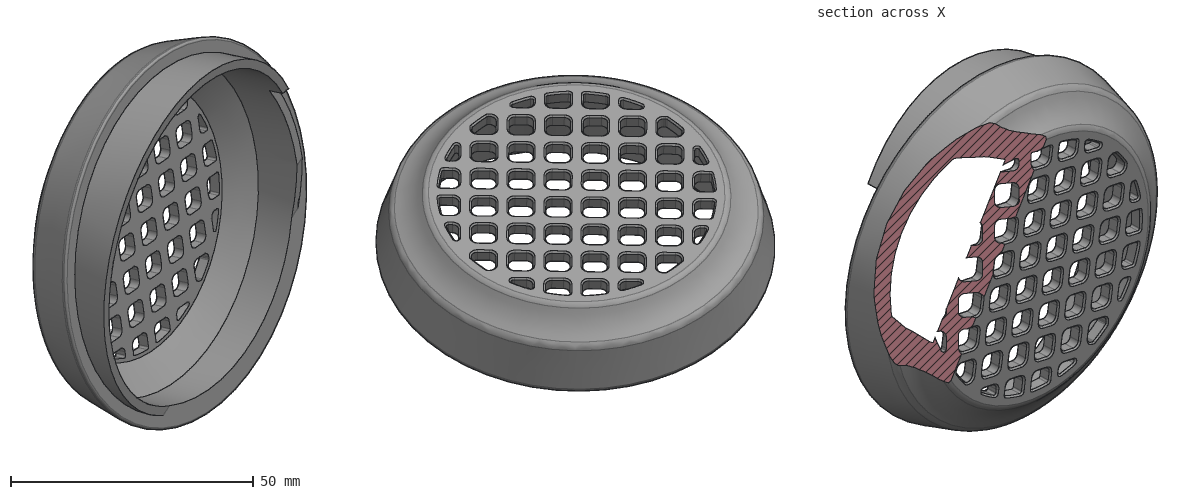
import cadquery as cq
import math

AXIS_TURN = 20.7
AXIS_RISE = 8.7

FACE_RADIUS = 31.4
FACE_FILLET = 1.6
SHOULDER_RADIUS = 38.45
SHOULDER_HEIGHT = 5.1
SHOULDER_FILLET = 2.0
FLARE_SAG = 0.7
RIM_RADIUS = 41.2
RIM_HEIGHT = 15.1
RIM_ROUNDING = 0.5
REAR_HEIGHT = 16.0

SPIGOT_RADIUS = 38.1
WALL = 2.0
SPIGOT_MID_HEIGHT = 20.25
SPIGOT_END_TURN = 24.7
SPIGOT_MAX_HEIGHT = 45.0

NOTCH_WIDTH = 38.4
NOTCH_FLOOR = 17.6

GRILLE_THICKNESS = 2.8
GRILLE_RADIUS = 28.5
GRID_COUNT = 8
PITCH = 7.67
HOLE_SIZE = 5.05
HOLE_CORNER = 1.3
CLIPPED_CORNER = 0.45
HOLE_CHAMFER = 0.38
SMALLEST_HOLE_VOLUME = 4.0

MARGIN = 0.1


def hollow_point(start, end, sag):
    """Point sag away from the middle of the line start-end, on the side towards the axis."""
    length = math.dist(start, end)
    run = (end[0] - start[0]) / length
    climb = (end[1] - start[1]) / length
    return (
        (start[0] + end[0]) / 2 - sag * climb,
        (start[1] + end[1]) / 2 + sag * run,
    )


def edges_within(radius, height):
    """Selector for the edges at one height that lie inside a square around the axis."""
    reach = radius + MARGIN
    return cq.selectors.BoxSelector(
        (-reach, -reach, height - MARGIN),
        (reach, reach, height + MARGIN),
        boundingbox=True,
    )


def revolved(outline):
    """Close an outline of radius and height and turn it about the axis."""
    return outline.close().revolve(360, (0, 0, 0), (0, 1, 0))


def housing():
    """Solid outside of the housing with a full-length spigot."""
    face = (FACE_RADIUS, 0)
    shoulder = (SHOULDER_RADIUS, SHOULDER_HEIGHT)
    body = revolved(
        cq.Workplane("XZ")
        .lineTo(*face)
        .threePointArc(hollow_point(face, shoulder, FLARE_SAG), shoulder)
        .lineTo(RIM_RADIUS, RIM_HEIGHT)
        .lineTo(RIM_RADIUS, REAR_HEIGHT - RIM_ROUNDING)
        .radiusArc((RIM_RADIUS - RIM_ROUNDING, REAR_HEIGHT), -RIM_ROUNDING)
        .lineTo(SPIGOT_RADIUS, REAR_HEIGHT)
        .lineTo(SPIGOT_RADIUS, SPIGOT_MAX_HEIGHT)
        .lineTo(0, SPIGOT_MAX_HEIGHT)
    )
    reach = 2 * RIM_RADIUS
    body = body.edges(edges_within(reach, 0)).fillet(FACE_FILLET)
    return body.edges(edges_within(reach, SHOULDER_HEIGHT)).fillet(SHOULDER_FILLET)


def cavity():
    """Inside of the housing, open through the spigot."""
    bore = SPIGOT_RADIUS - WALL
    return revolved(
        cq.Workplane("XZ")
        .moveTo(0, GRILLE_THICKNESS)
        .lineTo(FACE_RADIUS - WALL, GRILLE_THICKNESS)
        .lineTo(bore, SHOULDER_HEIGHT + WALL)
        .lineTo(bore, SPIGOT_MAX_HEIGHT)
        .lineTo(0, SPIGOT_MAX_HEIGHT)
    )


def hole_cells():
    """Prisms of the grille holes, each kept inside the grille circle."""
    depth = GRILLE_THICKNESS + 2 * MARGIN
    base = cq.Workplane("XY").workplane(offset=-MARGIN)
    limit = base.circle(GRILLE_RADIUS).extrude(depth)
    first = -(GRID_COUNT - 1) / 2
    steps = [(first + i) * PITCH for i in range(GRID_COUNT)]
    cells = []
    for x in steps:
        for y in steps:
            square = base.center(x, y).rect(HOLE_SIZE, HOLE_SIZE).extrude(depth)
            cell = square.edges("|Z").fillet(HOLE_CORNER)
            far_corner = math.hypot(abs(x) + HOLE_SIZE / 2, abs(y) + HOLE_SIZE / 2)
            if far_corner - (math.sqrt(2) - 1) * HOLE_CORNER > GRILLE_RADIUS:
                cell = cell.intersect(limit)
                if not cell.vals() or cell.val().Volume() < SMALLEST_HOLE_VOLUME:
                    continue
                core = cell.faces("<Z").wires().val().offset2D(-CLIPPED_CORNER)[0]
                outline = core.offset2D(CLIPPED_CORNER)[0]
                cell = cq.Workplane(cq.Solid.extrudeLinear(outline, [], cq.Vector(0, 0, depth)))
            cells.append(cell.val())
    return cq.Workplane(cq.Compound.makeCompound(cells))


def pierce_grille(body):
    """Cut the grille holes and chamfer their front edges."""
    pierced = body.cut(hole_cells())
    return pierced.faces("<Z").edges(edges_within(GRILLE_RADIUS, 0)).chamfer(HOLE_CHAMFER)


def notch():
    """Block that opens the spigot wall on the local +X side."""
    return (
        cq.Workplane("XY")
        .workplane(offset=NOTCH_FLOOR)
        .center(SPIGOT_RADIUS, 0)
        .rect(SPIGOT_RADIUS, NOTCH_WIDTH)
        .extrude(SPIGOT_MAX_HEIGHT)
    )


def part_frame():
    """Local frame: Z along the part's axis, X level, Y upwards."""
    turn = math.radians(AXIS_TURN)
    rise = math.radians(AXIS_RISE)
    return cq.Plane(
        origin=(0, 0, 0),
        xDir=(-math.sin(turn), math.cos(turn), 0),
        normal=(
            math.cos(rise) * math.cos(turn),
            math.cos(rise) * math.sin(turn),
            math.sin(rise),
        ),
    )


def beyond_spigot_end(placement, frame):
    """Everything past the slanting spigot end, but nothing of the housing."""
    end_turn = math.radians(SPIGOT_END_TURN)
    end_plane = cq.Plane(
        origin=frame.toWorldCoords((0, 0, SPIGOT_MID_HEIGHT)).toTuple(),
        xDir=(0, 0, 1),
        normal=(math.cos(end_turn), math.sin(end_turn), 0),
    )
    size = 4 * RIM_RADIUS
    past_end = cq.Workplane(end_plane).rect(size, size).extrude(SPIGOT_MAX_HEIGHT)
    behind = cq.Workplane("XY").workplane(offset=REAR_HEIGHT).rect(size, size).extrude(size)
    return past_end.intersect(cq.Workplane(behind.val().moved(placement)))


frame = part_frame()
placement = cq.Location(frame)
upright = pierce_grille(housing().cut(cavity()).cut(notch()))
placed = cq.Workplane(upright.val().moved(placement))
result = placed.cut(beyond_spigot_end(placement, frame))